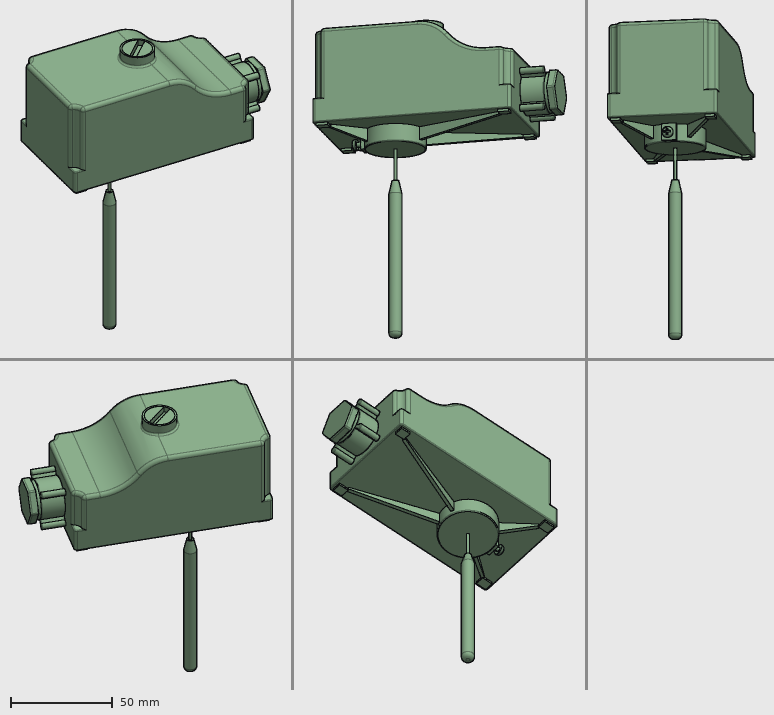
import cadquery as cq
import math


HOUSING_WIDTH = 55.0
HOUSING_LENGTH = 101.0
HOUSING_HEIGHT = 48.0
STEP_DROP = 16.0
HOLLOW_RADIUS = 25.0
CREST_RADIUS = 20.0
STEP_START_Y = 53.5
ROOF_FILLET = 2.0
NOTCH_RADIUS = 4.1
NOTCH_OFFSET = 0.9
NOTCH_LIP_RADIUS = 2.0
NOTCH_FLOOR_Z = 12.2
CORNER_RADIUS = 1.5
EDGE_ROUNDING = 0.5
FOOT_INSET = 1.5
FOOT_HEIGHT = 1.3

KNOB_Y = 50.5
KNOB_DIAMETER = 17.0
KNOB_HEIGHT = 5.5
KNOB_ROOT_FILLET = 1.0
DIAL_DIAMETER = 15.0
DIAL_DEPTH = 0.1
SLOT_WIDTH = 3.4
SLOT_DEPTH = 3.0

GLAND_Z = 14.0
SLEEVE_DIAMETER = 20.8
NECK_DIAMETER = 20.0
SLEEVE_LENGTH = 12.2
SLEEVE_EDGE_ROUNDING = 0.35
LOBE_DIAMETER = 3.4
LOBE_SPAN_X = 22.8
LOBE_SPAN_Z = 22.2
LOBE_WEB_WIDTH = 2.2
NECK_LENGTH = 1.7
NUT_LENGTH = 4.1
NUT_ACROSS_FLATS = 20.1
NUT_CORNER_RADIUS = 1.0
NUT_CHAMFER_LENGTH = 0.9
NUT_CHAMFER_DEPTH = 0.25

BOSS_Y = 34.9
BOSS_DIAMETER = 30.4
BOSS_BOTTOM_Z = -8.9
PAD_WIDTH = 7.2
PAD_FRONT_Y = 18.2
PAD_BOTTOM_Z = -8.4
RIB_THICKNESS = 1.8
RIB_ROOT_Z = -6.4
RIB_END_X = 21.2
FRONT_RIB_END_Y = 7.5
REAR_RIB_END_Y = 94.0

SCREW_Z = -5.1
SHANK_DIAMETER = 2.5
SHANK_EXPOSED = 2.8
HEAD_DIAMETER = 5.5
HEAD_HEIGHT = 2.3
HEAD_FILLET = 1.7
CROSS_LENGTH = 3.2
CROSS_WIDTH = 0.8
CROSS_DEPTH = 1.0

CAPILLARY_DIAMETER = 1.6
CONE_TOP_DIAMETER = 3.5
CONE_TOP_Z = -25.0
PROBE_DIAMETER = 6.6
PROBE_TOP_Z = -31.7
PROBE_BOTTOM_Z = -105.0
PROBE_TIP_FILLET = 2.4

HALF_WIDTH = HOUSING_WIDTH / 2
LOW_ROOF_Z = HOUSING_HEIGHT - STEP_DROP
OVERLAP = 1.0


def corner_recess():
    """Screw recess at the corner X = 0, Y = 0 of a block lying in +X, +Y.

    An arc about (NOTCH_OFFSET, 0) meets both walls through a rounded lip.
    """
    lip = NOTCH_LIP_RADIUS
    reach = NOTCH_RADIUS + lip
    share = NOTCH_RADIUS / reach
    end_lip = (NOTCH_OFFSET + math.sqrt(reach**2 - lip**2), lip)
    side_lip = (lip, math.sqrt(reach**2 - (lip - NOTCH_OFFSET) ** 2))

    def touch_point(lip_center):
        return (NOTCH_OFFSET + share * (lip_center[0] - NOTCH_OFFSET), share * lip_center[1])

    mid_angle = math.pi / 4
    recess_mid = (
        NOTCH_OFFSET + NOTCH_RADIUS * math.cos(mid_angle),
        NOTCH_RADIUS * math.sin(mid_angle),
    )
    return (
        cq.Workplane("XY")
        .moveTo(-OVERLAP, -OVERLAP)
        .lineTo(end_lip[0], -OVERLAP)
        .lineTo(end_lip[0], 0)
        .radiusArc(touch_point(end_lip), lip)
        .threePointArc(recess_mid, touch_point(side_lip))
        .radiusArc((0, side_lip[1]), lip)
        .lineTo(-OVERLAP, side_lip[1])
        .close()
        .extrude(HOUSING_HEIGHT)
    )


def notched_prism():
    """Full-height block with a screw recess down each corner."""
    block = cq.Workplane("XY").box(
        HOUSING_WIDTH, HOUSING_LENGTH, HOUSING_HEIGHT, centered=(True, False, False)
    )
    left_front = corner_recess().translate((-HALF_WIDTH, 0, 0))
    left_rear = left_front.mirror("XZ", (0, HOUSING_LENGTH / 2, 0))
    for recess in (left_front, left_rear):
        block = block.cut(recess).cut(recess.mirror("YZ"))
    return block


def roof_cutter():
    """Space above the S-shaped step, across the whole width."""
    radius_sum = HOLLOW_RADIUS + CREST_RADIUS
    sweep = math.acos(1 - STEP_DROP / radius_sum)
    crest_mid = (
        STEP_START_Y + CREST_RADIUS * math.sin(sweep / 2),
        HOUSING_HEIGHT - CREST_RADIUS * (1 - math.cos(sweep / 2)),
    )
    inflection = (
        STEP_START_Y + CREST_RADIUS * math.sin(sweep),
        HOUSING_HEIGHT - CREST_RADIUS * (1 - math.cos(sweep)),
    )
    step_end_y = STEP_START_Y + radius_sum * math.sin(sweep)
    hollow_mid = (
        step_end_y - HOLLOW_RADIUS * math.sin(sweep / 2),
        LOW_ROOF_Z + HOLLOW_RADIUS * (1 - math.cos(sweep / 2)),
    )
    return (
        cq.Workplane("YZ")
        .moveTo(STEP_START_Y, HOUSING_HEIGHT)
        .threePointArc(crest_mid, inflection)
        .threePointArc(hollow_mid, (step_end_y, LOW_ROOF_Z))
        .lineTo(HOUSING_LENGTH + OVERLAP, LOW_ROOF_Z)
        .lineTo(HOUSING_LENGTH + OVERLAP, HOUSING_HEIGHT + OVERLAP)
        .lineTo(STEP_START_Y, HOUSING_HEIGHT + OVERLAP)
        .close()
        .extrude(HALF_WIDTH + OVERLAP, both=True)
    )


def is_roof_rim(edge):
    """True for the outer edges of the roof, false for its seams and the base edges."""
    if edge.Center().z < LOW_ROOF_Z - OVERLAP or edge.BoundingBox().zmin < OVERLAP:
        return False
    vertical = edge.geomType() == "LINE" and abs(edge.tangentAt(0).z) > 0.5
    spans_width = edge.BoundingBox().xlen > HOUSING_WIDTH - OVERLAP
    return not vertical and not spans_width


def housing():
    cover = notched_prism().cut(roof_cutter())
    cover = cover.edges().filter(is_roof_rim).fillet(ROOF_FILLET)
    skirt = (
        cq.Workplane("XY")
        .box(HOUSING_WIDTH, HOUSING_LENGTH, NOTCH_FLOOR_Z, centered=(True, False, False))
        .edges("|Z")
        .fillet(CORNER_RADIUS)
        .faces(">Z")
        .edges()
        .fillet(EDGE_ROUNDING)
    )
    body = cover.union(skirt)
    return body.faces("<Z").edges().fillet(EDGE_ROUNDING)


def foot(x_sign, inner_y, outer_y):
    """Low corner pad that carries the outer end of a rib."""
    outer_x = HALF_WIDTH - FOOT_INSET
    return (
        cq.Workplane("XY")
        .center(x_sign * (RIB_END_X + outer_x) / 2, (inner_y + outer_y) / 2)
        .rect(outer_x - RIB_END_X, abs(outer_y - inner_y))
        .extrude(-FOOT_HEIGHT)
    )


def knob():
    return (
        cq.Workplane("XY", origin=(0, KNOB_Y, LOW_ROOF_Z))
        .circle(KNOB_DIAMETER / 2)
        .extrude(STEP_DROP + KNOB_HEIGHT)
    )


def knob_dial():
    """Shallow round recess with a screwdriver slot at 45 degrees across it."""
    top = cq.Workplane("XY", origin=(0, KNOB_Y, HOUSING_HEIGHT + KNOB_HEIGHT))
    dial = top.circle(DIAL_DIAMETER / 2).extrude(-DIAL_DEPTH)
    slot_bottom = -DIAL_DEPTH - SLOT_DEPTH
    slot = top.transformed(rotate=(0, 0, -45)).rect(DIAL_DIAMETER, SLOT_WIDTH).extrude(slot_bottom)
    slot = slot.intersect(top.circle(DIAL_DIAMETER / 2).extrude(slot_bottom))
    return dial.union(slot)


def along_rear(y):
    """Sketch plane at the given Y, extruding toward +Y, centred on the gland."""
    return cq.Workplane("XZ", origin=(0, y, GLAND_Z)).transformed(rotate=(180, 0, 0))


def cable_gland():
    sleeve_end = HOUSING_LENGTH + SLEEVE_LENGTH
    nut_start = sleeve_end + NECK_LENGTH
    root = along_rear(HOUSING_LENGTH)
    sleeve = root.circle(SLEEVE_DIAMETER / 2).extrude(SLEEVE_LENGTH)
    lobe_x = (LOBE_SPAN_X - LOBE_DIAMETER) / 2
    lobe_z = (LOBE_SPAN_Z - LOBE_DIAMETER) / 2
    lobe_angle = math.degrees(math.atan2(lobe_z, lobe_x))
    for angle in (lobe_angle, -lobe_angle):
        webs = (
            root.transformed(rotate=(0, 0, angle))
            .rect(2 * math.hypot(lobe_x, lobe_z), LOBE_WEB_WIDTH)
            .extrude(SLEEVE_LENGTH)
        )
        sleeve = sleeve.union(webs)
    lobes = (
        root.rect(2 * lobe_x, 2 * lobe_z, forConstruction=True)
        .vertices()
        .circle(LOBE_DIAMETER / 2)
        .extrude(SLEEVE_LENGTH)
    )
    sleeve = sleeve.union(lobes)
    sleeve = sleeve.faces("<Y or >Y").edges().fillet(SLEEVE_EDGE_ROUNDING)
    neck = (
        along_rear(HOUSING_LENGTH - OVERLAP)
        .circle(NECK_DIAMETER / 2)
        .extrude(OVERLAP + SLEEVE_LENGTH + NECK_LENGTH + OVERLAP)
    )
    nut = (
        along_rear(nut_start)
        .polygon(6, NUT_ACROSS_FLATS / math.cos(math.pi / 6))
        .extrude(NUT_LENGTH)
        .edges("|Y")
        .fillet(NUT_CORNER_RADIUS)
        .faces(">Y")
        .chamfer(NUT_CHAMFER_LENGTH, NUT_CHAMFER_DEPTH)
    )
    return sleeve.union(neck).union(nut)


def mounting_boss():
    boss = (
        cq.Workplane("XY", origin=(0, BOSS_Y, 0))
        .circle(BOSS_DIAMETER / 2)
        .extrude(BOSS_BOTTOM_Z)
        .faces("<Z")
        .edges()
        .fillet(EDGE_ROUNDING)
    )
    pad = (
        cq.Workplane("XY")
        .center(0, (PAD_FRONT_Y + BOSS_Y) / 2)
        .rect(PAD_WIDTH, BOSS_Y - PAD_FRONT_Y)
        .extrude(PAD_BOTTOM_Z)
    )
    return boss.union(pad)


def rib(end_x, end_y):
    """Tapered web running from the boss out to the corner of a foot."""
    reach = math.hypot(end_x, end_y - BOSS_Y)
    angle = math.degrees(math.atan2(end_y - BOSS_Y, end_x))
    return (
        cq.Workplane("XZ")
        .polyline(
            [
                (0, 0),
                (reach, 0),
                (reach, -FOOT_HEIGHT),
                (BOSS_DIAMETER / 2, RIB_ROOT_Z),
                (0, RIB_ROOT_Z),
            ]
        )
        .close()
        .extrude(RIB_THICKNESS / 2, both=True)
        .rotate((0, 0, 0), (0, 0, 1), angle)
        .translate((0, BOSS_Y, 0))
    )


def clamping_screw():
    under_head_y = PAD_FRONT_Y - SHANK_EXPOSED
    shank = (
        cq.Workplane("XZ", origin=(0, PAD_FRONT_Y + OVERLAP, SCREW_Z))
        .circle(SHANK_DIAMETER / 2)
        .extrude(OVERLAP + SHANK_EXPOSED + OVERLAP)
    )
    head = (
        cq.Workplane("XZ", origin=(0, under_head_y, SCREW_Z))
        .circle(HEAD_DIAMETER / 2)
        .extrude(HEAD_HEIGHT)
        .faces("<Y")
        .edges()
        .fillet(HEAD_FILLET)
    )
    face = cq.Workplane("XZ", origin=(0, under_head_y - HEAD_HEIGHT, SCREW_Z))
    screw = shank.union(head)
    for width, height in ((CROSS_LENGTH, CROSS_WIDTH), (CROSS_WIDTH, CROSS_LENGTH)):
        screw = screw.cut(face.rect(width, height).extrude(-CROSS_DEPTH))
    return screw


def probe():
    radius = PROBE_DIAMETER / 2
    tip_arc_x = radius - PROBE_TIP_FILLET * (1 - math.sqrt(0.5))
    tip_arc_z = PROBE_BOTTOM_Z + PROBE_TIP_FILLET * (1 - math.sqrt(0.5))
    return (
        cq.Workplane("XZ", origin=(0, BOSS_Y, 0))
        .moveTo(0, BOSS_BOTTOM_Z + OVERLAP)
        .lineTo(CAPILLARY_DIAMETER / 2, BOSS_BOTTOM_Z + OVERLAP)
        .lineTo(CAPILLARY_DIAMETER / 2, CONE_TOP_Z)
        .lineTo(CONE_TOP_DIAMETER / 2, CONE_TOP_Z)
        .lineTo(radius, PROBE_TOP_Z)
        .lineTo(radius, PROBE_BOTTOM_Z + PROBE_TIP_FILLET)
        .threePointArc((tip_arc_x, tip_arc_z), (radius - PROBE_TIP_FILLET, PROBE_BOTTOM_Z))
        .lineTo(0, PROBE_BOTTOM_Z)
        .close()
        .revolve(360, (0, 0, 0), (0, 1, 0))
    )


def is_knob_root(edge):
    """True for the edge where the knob meets the roof."""
    box = edge.BoundingBox()
    limit = KNOB_DIAMETER / 2 + OVERLAP / 2
    on_roof = LOW_ROOF_Z + OVERLAP < box.zmin and box.zmax < HOUSING_HEIGHT + OVERLAP
    within_x = -limit < box.xmin and box.xmax < limit
    within_y = KNOB_Y - limit < box.ymin and box.ymax < KNOB_Y + limit
    return on_roof and within_x and within_y and edge.geomType() != "LINE"


result = housing().union(knob())
result = result.edges().filter(is_knob_root).fillet(KNOB_ROOT_FILLET)
result = result.cut(knob_dial())
result = result.union(cable_gland())
result = result.union(mounting_boss())
for side in (-1, 1):
    for rib_end_y, foot_end_y in (
        (FRONT_RIB_END_Y, FOOT_INSET),
        (REAR_RIB_END_Y, HOUSING_LENGTH - FOOT_INSET),
    ):
        result = result.union(foot(side, rib_end_y, foot_end_y))
        result = result.union(rib(side * RIB_END_X, rib_end_y))
result = result.union(clamping_screw())
result = result.union(probe())